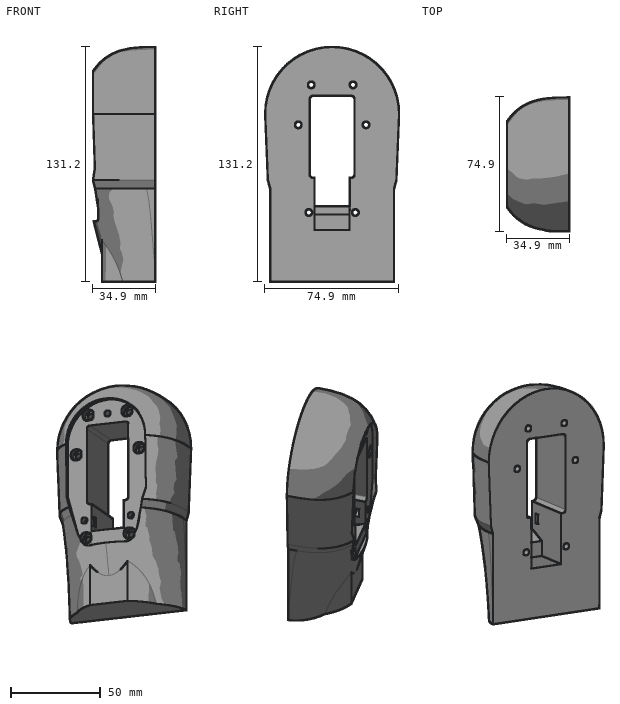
import cadquery as cq
import math


height = 131.2
width = 74.9
half_width = width / 2
dome_center_z = height - half_width
waist_z = 56.8
shoulder_z = 52.2
lip_z = 33.8
dome_bulge = 41.5
waist_bulge = 40.8
waist_half_width = 36.0
shoulder_bulge = 39.7
lip_bulge = 34.5
foot_bulge = 26.2
full_curve = 3.0
shoulder_curve = 2.7
lip_curve = 2.1
foot_curve = 1.8
curve_steps = 16

flank_half_width = 34.6
flank_trim = 0.07
foot_inset = 0.05

pad_front = 29.9
pad_flat_half_width = 11.3
pad_side_middle = (23.0, 20.5)
pad_side_start = 16.8
pad_half_width = 24.8
pad_height = 26.2

face_depth = 32.0
face_half_width = 23.9
face_taper_z = 63.5
face_bottom_half_width = 15.7
face_corner = 7.2

window_half_width = 12.5
window_top_z = 103.8
window_step_z = 58.1
window_corner = 1.8
slot_half_width = 9.7
slot_bottom_z = 42.2
sill_depth = 10.9
sill_drop = 4.7
cavity_bottom_z = 28.9

screw_spots = [(11.7, 109.9), (18.9, 87.6), (13.0, 38.7)]
screw_diameter = 3.5
counterbore_diameter = 6.5
counterbore_depth = 4.0
lower_pilot_spot = (14.0, 48.9)
top_pilot_z = 109.7
pilot_diameter = 3.5
pilot_depth = 9.2

nut_slot_offset = 3.8
nut_slot_thickness = 2.8
nut_slot_height = 5.4
nut_slot_overrun = 2.8

clearance = 13.1


def bulge_points(bulge, half, curve, sweep):
    """Points (depth, offset) on a superellipse arc that starts at the back plane."""
    points = []
    for step in range(curve_steps + 1):
        angle = sweep * step / curve_steps
        depth = bulge * max(math.sin(angle), 0.0) ** (2 / curve)
        points.append((-depth, half * math.cos(angle)))
    points[-1] = (-bulge, 0.0) if sweep < math.pi else (0.0, -half)
    return points


def body_section(z, bulge, half, curve):
    """Closed horizontal section: bulged front, straight back."""
    points = bulge_points(bulge, half, curve, math.pi)
    section = cq.Workplane("XY", origin=(0, 0, z)).moveTo(*points[0])
    section = section.spline(points[1:], tangents=[(-1, 0), (1, 0)], includeCurrent=True)
    return section.close().val()


def make_loft(sections):
    wires = [body_section(*section) for section in sections]
    return cq.Workplane(cq.Solid.makeLoft(wires))


def block(x_range, y_range, z_range):
    (x0, x1), (y0, y1), (z0, z1) = x_range, y_range, z_range
    return cq.Workplane("XY").box(x1 - x0, y1 - y0, z1 - z0, centered=False).translate((x0, y0, z0))


def make_dome():
    points = bulge_points(dome_bulge, half_width, full_curve, math.pi / 2)
    profile = cq.Workplane("XY").moveTo(*points[0])
    profile = profile.spline(points[1:], tangents=[(-1, 0), (0, -1)], includeCurrent=True)
    dome = profile.lineTo(0, 0).close().revolve(180, (0, 0, 0), (1, 0, 0))
    return dome.translate((0, 0, dome_center_z))


def make_body():
    seam_section = (dome_center_z, dome_bulge, half_width, full_curve)
    waist_section = (waist_z, waist_bulge, waist_half_width, full_curve)
    middle = make_loft([waist_section, seam_section])
    return make_dome().union(middle).union(make_lower()).union(make_pad())


def make_lower():
    """Loft from the foot up, with a short flare to the waist; trimmed on +Y and mirrored."""
    foot_section = (0, foot_bulge, flank_half_width - foot_inset, foot_curve)
    lip_section = (lip_z, lip_bulge, flank_half_width + flank_trim, lip_curve)
    shoulder_section = (shoulder_z, shoulder_bulge, flank_half_width + flank_trim, shoulder_curve)
    waist_section = (waist_z, waist_bulge, waist_half_width, full_curve)
    trunk = make_loft([foot_section, lip_section, shoulder_section])
    half = trunk.intersect(block((-height, height), (0, flank_half_width), (-clearance, height)))
    flare = make_loft([shoulder_section, waist_section])
    return half.union(half.mirror("XZ")).union(flare)


def make_pad():
    outline = (
        cq.Workplane("XY")
        .moveTo(0, pad_half_width)
        .lineTo(-pad_side_start, pad_half_width)
        .threePointArc((-pad_side_middle[0], pad_side_middle[1]), (-pad_front, pad_flat_half_width))
        .lineTo(-pad_front, -pad_flat_half_width)
        .threePointArc((-pad_side_middle[0], -pad_side_middle[1]), (-pad_side_start, -pad_half_width))
        .lineTo(0, -pad_half_width)
        .close()
    )
    return outline.extrude(pad_height)


def cut_tool(outline, front_depth, length):
    """Push a (Y, Z) outline along +X, starting at the given depth."""
    return outline.extrude(length).translate((-front_depth, 0, 0))


def make_face_recess():
    outline = (
        cq.Workplane("YZ")
        .moveTo(face_half_width, dome_center_z)
        .threePointArc((0, dome_center_z + face_half_width), (-face_half_width, dome_center_z))
        .lineTo(-face_half_width, face_taper_z)
        .lineTo(-face_bottom_half_width, lip_z)
        .lineTo(face_bottom_half_width, lip_z)
        .lineTo(face_half_width, face_taper_z)
        .close()
    )
    recess = cut_tool(outline, face_depth + clearance, clearance)
    lower_corners = cq.selectors.BoxSelector(
        (-height, -face_half_width, lip_z - clearance), (height, face_half_width, lip_z + clearance)
    )
    return recess.edges(lower_corners).edges("|X").fillet(face_corner)


def make_window():
    through = (-face_depth - clearance, clearance)
    upper = block(through, (-window_half_width, window_half_width), (window_step_z, window_top_z))
    upper = upper.edges("|X").fillet(window_corner)
    sill_x = -face_depth + sill_depth
    slot_side = [
        (through[0], window_step_z),
        (through[0], slot_bottom_z),
        (-face_depth, slot_bottom_z),
        (sill_x, slot_bottom_z - sill_drop),
        (sill_x, cavity_bottom_z),
        (through[1], cavity_bottom_z),
        (through[1], window_step_z),
    ]
    slot = cq.Workplane("XZ").polyline(slot_side).close().extrude(slot_half_width, both=True)
    return upper.union(slot)


def hole(spot, diameter, depth):
    y, z = spot
    outline = cq.Workplane("YZ").center(y, z).circle(diameter / 2)
    return cut_tool(outline, face_depth, depth)


def pointed_hole(spot):
    """Pilot hole that tapers to a point."""
    y, z = spot
    cone = cq.Solid.makeCone(
        pilot_diameter / 2, 0, pilot_depth, pnt=cq.Vector(-face_depth, y, z), dir=cq.Vector(1, 0, 0)
    )
    return cq.Workplane(cone)


def mirrored(spot):
    y, z = spot
    return [(y, z), (-y, z)]


def cut_holes(body):
    for spot in screw_spots:
        for place in mirrored(spot):
            body = body.cut(hole(place, screw_diameter, face_depth))
            body = body.cut(hole(place, counterbore_diameter, counterbore_depth))
    for place in mirrored(lower_pilot_spot) + [(0, top_pilot_z)]:
        body = body.cut(pointed_hole(place))
    return body


def make_nut_slots():
    """Both slots as one bar across the cavity, reaching just past the pilot holes."""
    pilot_y, pilot_z = lower_pilot_spot
    reach = pilot_y + nut_slot_overrun
    front = -face_depth + nut_slot_offset
    half_height = nut_slot_height / 2
    return block(
        (front, front + nut_slot_thickness),
        (-reach, reach),
        (pilot_z - half_height, pilot_z + half_height),
    )


body = make_body()
body = body.cut(make_face_recess()).cut(make_window()).cut(make_nut_slots())
result = cut_holes(body)